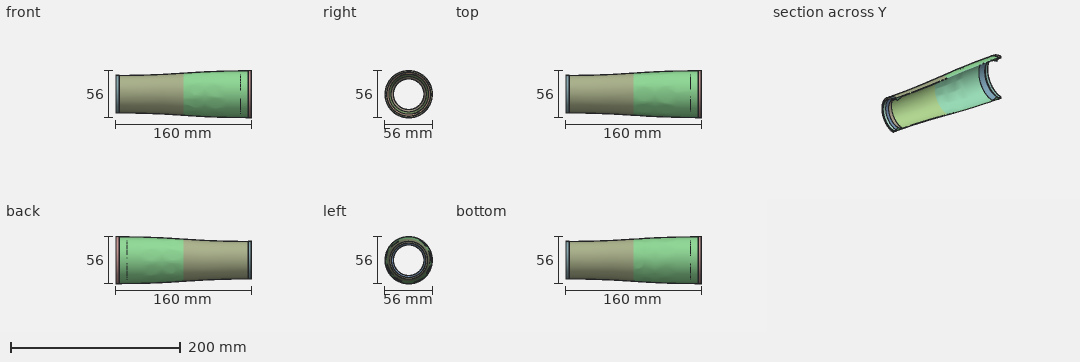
import cadquery as cq
import math

length = 160.0
small_radius = 22.4
large_radius = 28.0
collar_length = 4.0
collar_step = 0.2
collar_bevel = 0.3
wall = 1.5

rim = 2.0
mouth_chamfer = 0.3
lip_height = 4.5
throat_depth = 6.5
lip_depth = 13.1

half_length = length / 2
body_small = small_radius - collar_step
body_large = large_radius - collar_step
bore_small = body_small - wall
bore_large = body_large - wall


def arc_middle(flat_end, joint):
    """Midpoint of the arc that leaves flat_end parallel to the axis and reaches joint."""
    run = joint[0] - flat_end[0]
    rise = joint[1] - flat_end[1]
    half_angle = math.atan2(rise, abs(run))
    arc_radius = abs(run) / math.sin(2 * half_angle)
    along = run * math.sin(half_angle) / math.sin(2 * half_angle)
    across = arc_radius * (1 - math.cos(half_angle))
    return (flat_end[0] + along, flat_end[1] + across)


def add_s_curve(profile, start, end):
    """Two mirrored arcs, parallel to the axis at start and end, joined at mid length."""
    joint = (half_length, (start[1] + end[1]) / 2)
    return (
        profile.threePointArc(arc_middle(start, joint), joint)
        .threePointArc(arc_middle(end, joint), end)
    )


def revolve_about_axis(profile):
    """Close the profile along the X axis and spin it into a solid."""
    return profile.lineTo(length, 0).close().revolve(360, (0, 0, 0), (1, 0, 0))


def make_outer_body():
    """Solid outside: two collars with the S-curved body between them."""
    profile = (
        cq.Workplane("XZ")
        .lineTo(0, small_radius)
        .lineTo(collar_length - collar_bevel, small_radius)
        .lineTo(collar_length, body_small)
    )
    profile = add_s_curve(profile, (collar_length, body_small), (length - collar_length, body_large))
    profile = (
        profile.lineTo(length - collar_length + collar_bevel, large_radius)
        .lineTo(length, large_radius)
    )
    return revolve_about_axis(profile)


def socket_points(collar_radius):
    """(depth, radius) points of a socket from its end face to its throat."""
    mouth_radius = collar_radius - rim
    seat_radius = mouth_radius - mouth_chamfer
    return [
        (0, mouth_radius),
        (mouth_chamfer, seat_radius),
        (collar_length, seat_radius),
        (throat_depth, collar_radius - lip_height),
    ]


def make_bore():
    """Through bore: a socket at each end and an S curve between the lips."""
    profile = cq.Workplane("XZ")
    for depth, radius in socket_points(small_radius):
        profile = profile.lineTo(depth, radius)
    profile = profile.lineTo(lip_depth, bore_small)
    profile = add_s_curve(profile, (lip_depth, bore_small), (length - lip_depth, bore_large))
    for depth, radius in reversed(socket_points(large_radius)):
        profile = profile.lineTo(length - depth, radius)
    return revolve_about_axis(profile)


result = make_outer_body().cut(make_bore())